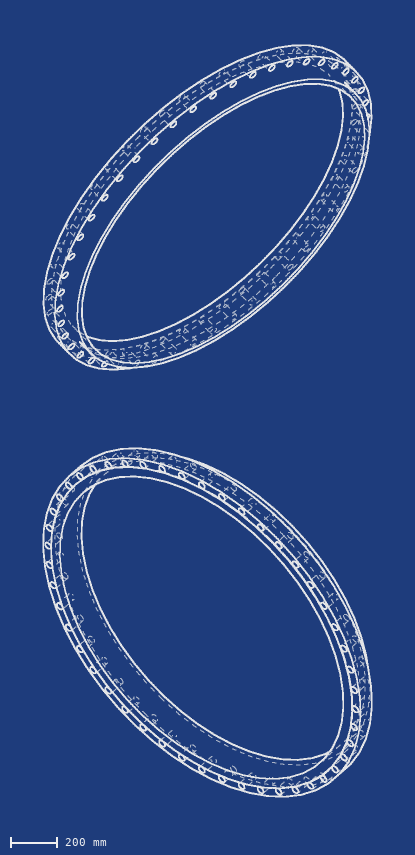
import cadquery as cq

INCH = 25.4

flange_radius = 67.5 * INCH / 2
raised_face_radius = 64.0 * INCH / 2
hub_radius = 62.25 * INCH / 2
bore_radius = 60.25 * INCH / 2

overall_length = 5.9375 * INCH
raised_face_height = 0.0625 * INCH
raised_face_fillet = raised_face_height / 2
flange_back = 3.1875 * INCH
hub_fillet = 0.25 * INCH

bolt_circle_radius = 65.3125 * INCH / 2
bolt_hole_radius = 1.25 * INCH / 2
bolt_hole_count = 48


def ring_body():
    """Flange with a raised face, a hub behind it and a fillet at the foot of each."""
    profile = (
        cq.Workplane("XZ")
        .moveTo(0, bore_radius)
        .lineTo(0, raised_face_radius)
        .lineTo(raised_face_height - raised_face_fillet, raised_face_radius)
        .radiusArc((raised_face_height, raised_face_radius + raised_face_fillet), -raised_face_fillet)
        .lineTo(raised_face_height, flange_radius)
        .lineTo(flange_back, flange_radius)
        .lineTo(flange_back, hub_radius + hub_fillet)
        .radiusArc((flange_back + hub_fillet, hub_radius), -hub_fillet)
        .lineTo(overall_length, hub_radius)
        .lineTo(overall_length, bore_radius)
        .close()
    )
    return profile.revolve(360, (0, 0, 0), (1, 0, 0))


def bolt_holes():
    """Through holes evenly spaced on the bolt circle, one of them on the Y axis."""
    return (
        cq.Workplane("YZ")
        .polarArray(bolt_circle_radius, 0, 360, bolt_hole_count)
        .circle(bolt_hole_radius)
        .extrude(flange_back)
    )


result = ring_body().cut(bolt_holes())